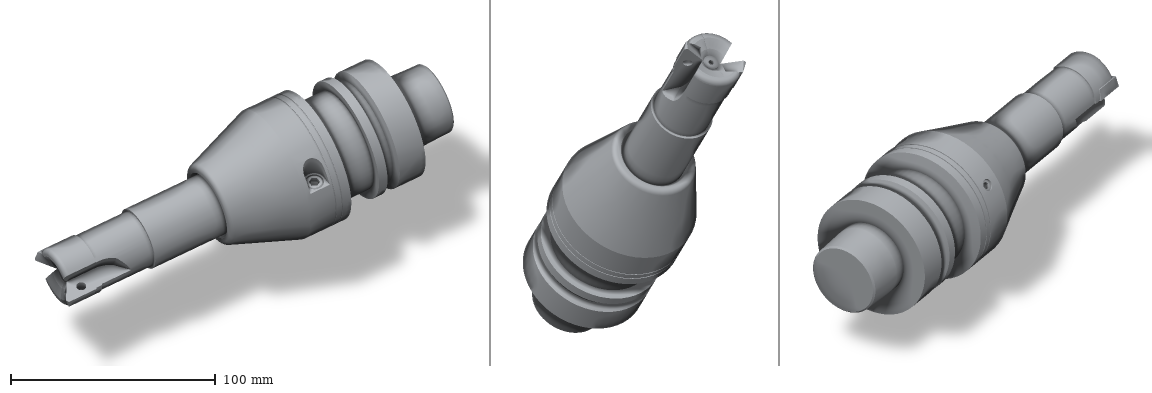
import cadquery as cq
import math

TOOL_LENGTH = 219.5
HALF_TURN = 180.0
HEX_SIDES = 6
DRILL_POINT_ANGLE = 118.0

NOSE_CHAMFER = 0.9
NOSE_END_RADIUS = 36.7 / 2
NOSE_RADIUS = 38.0 / 2
NOSE_TAPER_Y = 200.8

FLANGE_RADIUS = 63.0 / 2
FLANGE_BACK_Y = 195.0
FLANGE_FRONT_Y = 168.3
GRIP_GROOVE_RADIUS = 27.7
GRIP_GROOVE_MID_Y = 176.7
GRIP_GROOVE_FLOOR = 3.5
GRIP_GROOVE_MOUTH = 7.0

NECK_RADIUS = 26.5
NECK_FRONT_Y = 152.5
BODY_RADIUS = 69.5 / 2
BODY_BACK_Y = 150.5
BODY_FRONT_Y = 127.3
RING_GROOVE_YS = (145.5, 142.0)
RING_GROOVE_WIDTH = 0.7
RING_GROOVE_DEPTH = 0.33

CONE_ANGLE = 20.0
HOLDER_FRONT_Y = 90.0
CONE_END_RADIUS = BODY_RADIUS - (BODY_FRONT_Y - HOLDER_FRONT_Y) * math.tan(math.radians(CONE_ANGLE))
CONE_END_FILLET = 2.6

SHANK_RADIUS = 16.0
SHANK_BACK_Y = BODY_FRONT_Y
BORE_MOUTH_CHAMFER = 1.5

SCREW_Y = 135.2
SCREW_X = 25.2
SCREW_SEAT_Z = 16.5
SCREW_POCKET_RADIUS = 5.5
SCREW_RADIUS = 4.5
SCREW_LENGTH = 6.5
SCREW_CHAMFER = 0.9
SCREW_SOCKET_CORNERS = 5.5
SCREW_SOCKET_DEPTH = 2.6

PORT_ANGLE = 145.0
PORT_RADIUS = 3.0
PORT_DEPTH = 1.0
PORT_SOCKET_CORNERS = 4.0
PORT_SOCKET_DEPTH = 1.8

SHANK_FRONT_Y = 50.0
CUTTER_NECK_RADIUS = 14.7
HEAD_BACK_Y = 20.2
HEAD_FRONT_Y = 2.5
HEAD_RADIUS = 15.4
HEAD_FILLET = 2.5
DISH_RIM_RADIUS = 11.6
DISH_MID_RADIUS = 6.5
DISH_MID_DEPTH = 2.2
DISH_FLOOR_RADIUS = 4.0
DISH_DEPTH = 4.4
CENTRE_HOLE_RADIUS = 1.3
CENTRE_HOLE_DEPTH = 2.2

GULLET_CORNER_X = 4.5
GULLET_WALL_ANGLE = 67.0
GULLET_STRAIGHT_Y = 22.2
GULLET_ARC_LENGTH = 8.8
GULLET_ARC_ANGLE = 31.0
GULLET_RUNOUT_ANGLE = 48.0
GULLET_REACH = 17.5
RELIEF_START_ANGLE = -63.0
RELIEF_DEPTH = 0.2
RELIEF_LENGTH = 8.8

INSERT_INNER_X = 5.0
INSERT_TIP_X = 14.5
INSERT_OUTER_X = 16.0
INSERT_CORNER_Y = 0.9
INSERT_BACK_Y = 16.5
INSERT_END_SLOPE = 0.65
INSERT_THICKNESS = 5.7
INSERT_CLEARANCE = 13.0
INSERT_FRONT_ROOM = 8.8
INSERT_HOLE_X = 10.8
INSERT_HOLE_Y = 11.0
INSERT_HOLE_RADIUS = 2.5


def revolve_about_axis(points):
    """Turn a closed outline of (radius, y) points about the tool axis."""
    return cq.Workplane("XY").polyline(points).close().revolve(360, (0, 0), (0, 1))


def opposite(shape):
    """The same shape on the other side of the tool axis."""
    return shape.rotate((0, 0, 0), (0, 1, 0), HALF_TURN)


def hex_socket(plane, corners, depth):
    """Hexagonal hole into the plane, ending in a drill point."""
    across_flats = corners * math.cos(math.pi / HEX_SIDES)
    point_radius = across_flats / 2
    point_depth = point_radius / math.tan(math.radians(DRILL_POINT_ANGLE / 2))
    hexagon = cq.Workplane(plane).polygon(HEX_SIDES, corners).extrude(-depth)
    tip = cq.Solid.makeCone(point_radius, 0, point_depth, plane.origin - plane.zDir * depth, -plane.zDir)
    return hexagon.union(cq.Workplane(tip))


def holder_blank():
    mouth = GRIP_GROOVE_MOUTH / 2
    floor = GRIP_GROOVE_FLOOR / 2
    outline = [
        (0, TOOL_LENGTH),
        (NOSE_END_RADIUS - NOSE_CHAMFER, TOOL_LENGTH),
        (NOSE_END_RADIUS, TOOL_LENGTH - NOSE_CHAMFER),
        (NOSE_RADIUS, NOSE_TAPER_Y),
        (NOSE_RADIUS, FLANGE_BACK_Y),
        (FLANGE_RADIUS, FLANGE_BACK_Y),
        (FLANGE_RADIUS, GRIP_GROOVE_MID_Y + mouth),
        (GRIP_GROOVE_RADIUS, GRIP_GROOVE_MID_Y + floor),
        (GRIP_GROOVE_RADIUS, GRIP_GROOVE_MID_Y - floor),
        (FLANGE_RADIUS, GRIP_GROOVE_MID_Y - mouth),
        (FLANGE_RADIUS, FLANGE_FRONT_Y),
        (NECK_RADIUS, FLANGE_FRONT_Y),
        (NECK_RADIUS, NECK_FRONT_Y),
        (BODY_RADIUS, BODY_BACK_Y),
        (BODY_RADIUS, BODY_FRONT_Y),
        (CONE_END_RADIUS, HOLDER_FRONT_Y),
        (0, HOLDER_FRONT_Y),
    ]
    return revolve_about_axis(outline).faces("<Y").edges().fillet(CONE_END_FILLET)


def ring_groove(mid_y):
    inner = BODY_RADIUS - RING_GROOVE_DEPTH
    outer = BODY_RADIUS + RING_GROOVE_DEPTH
    back = mid_y + RING_GROOVE_WIDTH / 2
    front = mid_y - RING_GROOVE_WIDTH / 2
    return revolve_about_axis([(inner, front), (outer, front), (outer, back), (inner, back)])


def tool_bore():
    return revolve_about_axis([
        (0, SHANK_BACK_Y),
        (SHANK_RADIUS, SHANK_BACK_Y),
        (SHANK_RADIUS, HOLDER_FRONT_Y + BORE_MOUTH_CHAMFER),
        (SHANK_RADIUS + BORE_MOUTH_CHAMFER, HOLDER_FRONT_Y),
        (0, HOLDER_FRONT_Y),
    ])


def screw_pocket():
    """Round-ended flat that runs out of the body on the +X side."""
    seat = cq.Workplane("XY", origin=(SCREW_X, SCREW_Y, SCREW_SEAT_Z))
    round_end = seat.circle(SCREW_POCKET_RADIUS).extrude(BODY_RADIUS)
    open_side = seat.rect(BODY_RADIUS, 2 * SCREW_POCKET_RADIUS).extrude(BODY_RADIUS)
    open_side = open_side.translate((BODY_RADIUS / 2, 0, 0))
    return round_end.union(open_side)


def screw_hole():
    bottom = cq.Workplane("XY", origin=(SCREW_X, SCREW_Y, SCREW_SEAT_Z - SCREW_LENGTH))
    return bottom.circle(SCREW_RADIUS).extrude(SCREW_LENGTH)


def radial_port():
    """Shallow round recess with a hexagonal socket in its floor."""
    angle = math.radians(PORT_ANGLE)
    outward = cq.Vector(math.cos(angle), 0, math.sin(angle))
    floor = cq.Plane(origin=outward * (BODY_RADIUS - PORT_DEPTH), xDir=(0, 1, 0), normal=outward)
    recess = cq.Workplane(floor).circle(PORT_RADIUS).extrude(2 * PORT_DEPTH)
    socket = hex_socket(floor, PORT_SOCKET_CORNERS, PORT_SOCKET_DEPTH)
    return recess.union(socket).translate((0, SCREW_Y, 0))


def make_holder():
    holder = holder_blank().cut(tool_bore())
    for groove_y in RING_GROOVE_YS:
        holder = holder.cut(ring_groove(groove_y))
    return holder.cut(screw_pocket()).cut(screw_hole()).cut(radial_port())


def make_clamp_screw():
    screw = screw_hole().faces(">Z").chamfer(SCREW_CHAMFER)
    top = cq.Plane(origin=(SCREW_X, SCREW_Y, SCREW_SEAT_Z))
    return screw.cut(hex_socket(top, SCREW_SOCKET_CORNERS, SCREW_SOCKET_DEPTH))


def insert_blank():
    """Insert on the +X side: rake face at Z = 0, sides drawn in below it for clearance."""
    end_rise = (INSERT_TIP_X - INSERT_INNER_X) * INSERT_END_SLOPE
    back_rise = (INSERT_OUTER_X - INSERT_INNER_X) * INSERT_END_SLOPE
    outline = [
        (INSERT_INNER_X, INSERT_BACK_Y + back_rise),
        (INSERT_OUTER_X, INSERT_BACK_Y),
        (INSERT_OUTER_X, INSERT_CORNER_Y),
        (INSERT_TIP_X, 0),
        (INSERT_INNER_X, end_rise),
    ]
    rake_face = cq.Workplane("XY").polyline(outline).close()
    return rake_face.extrude(-INSERT_THICKNESS, taper=INSERT_CLEARANCE)


def make_insert():
    hole = cq.Workplane("XY").center(INSERT_HOLE_X, INSERT_HOLE_Y).circle(INSERT_HOLE_RADIUS)
    return insert_blank().cut(hole.extrude(-INSERT_THICKNESS))


def insert_pocket():
    """Seat that fits the insert and stays open in front of its end flank."""
    return insert_blank().union(insert_blank().translate((0, -INSERT_FRONT_ROOM, 0)))


def cutter_blank():
    outline = [
        (0, SHANK_BACK_Y),
        (SHANK_RADIUS, SHANK_BACK_Y),
        (SHANK_RADIUS, SHANK_FRONT_Y),
        (CUTTER_NECK_RADIUS, SHANK_FRONT_Y),
        (CUTTER_NECK_RADIUS, HEAD_BACK_Y),
        (HEAD_RADIUS, HEAD_BACK_Y),
        (HEAD_RADIUS, HEAD_FRONT_Y),
        (0, HEAD_FRONT_Y),
    ]
    return revolve_about_axis(outline).faces("<Y").edges().fillet(HEAD_FILLET)


def end_dish():
    """Two-step conical hollow in the front face, with a small centre hole."""
    floor_y = HEAD_FRONT_Y + DISH_DEPTH
    hole_y = floor_y + CENTRE_HOLE_DEPTH
    return revolve_about_axis([
        (0, HEAD_FRONT_Y),
        (DISH_RIM_RADIUS, HEAD_FRONT_Y),
        (DISH_MID_RADIUS, HEAD_FRONT_Y + DISH_MID_DEPTH),
        (DISH_FLOOR_RADIUS, floor_y),
        (CENTRE_HOLE_RADIUS, floor_y),
        (CENTRE_HOLE_RADIUS, hole_y),
        (0, hole_y),
    ])


def gullet():
    """Chip space above the +X insert: a leaning wall that curves outward and then runs out straight."""
    lean = math.radians(GULLET_WALL_ANGLE)
    bend = math.radians(GULLET_ARC_ANGLE)
    runout = math.radians(GULLET_RUNOUT_ANGLE)
    arc_radius = GULLET_ARC_LENGTH / math.sin(bend)
    arc_end = (arc_radius * (1 - math.cos(bend)), GULLET_STRAIGHT_Y + GULLET_ARC_LENGTH)
    arc_mid = (
        arc_radius * (1 - math.cos(bend / 2)),
        GULLET_STRAIGHT_Y + arc_radius * math.sin(bend / 2),
    )
    runout_y = arc_end[1] + (GULLET_REACH - arc_end[0]) / math.tan(runout)

    across_wall = cq.Plane(
        origin=(GULLET_CORNER_X, 0, 0),
        xDir=(math.sin(lean), 0, -math.cos(lean)),
        normal=(math.cos(lean), 0, math.sin(lean)),
    )
    sweep = (
        cq.Workplane(across_wall)
        .moveTo(0, 0)
        .lineTo(0, GULLET_STRAIGHT_Y)
        .threePointArc(arc_mid, arc_end)
        .lineTo(GULLET_REACH, runout_y)
        .lineTo(GULLET_REACH, 0)
        .close()
        .extrude(GULLET_REACH, both=True)
    )
    above_rake_face = cq.Workplane("XY").rect(TOOL_LENGTH, TOOL_LENGTH).extrude(TOOL_LENGTH)
    return sweep.intersect(above_rake_face)


def end_relief(body):
    """Thin front skin of the body in the sector beside the +X insert, to set the end back there."""
    start = math.radians(RELIEF_START_ANGLE)
    reach = 2 * HEAD_RADIUS
    start_corner = (reach * math.cos(start), reach * math.sin(start))
    sector = cq.Workplane("XZ").polyline([(0, 0), start_corner, (reach, 0)]).close().extrude(-RELIEF_LENGTH)
    dish_floor = cq.Workplane("XZ").circle(DISH_FLOOR_RADIUS).extrude(-RELIEF_LENGTH)
    set_back = body.translate((0, RELIEF_DEPTH, 0))
    return sector.cut(dish_floor).intersect(body).cut(set_back)


def make_cutter():
    cutter = cutter_blank().cut(end_dish())
    for cut_shape in (end_relief(cutter), gullet(), insert_pocket()):
        cutter = cutter.cut(cut_shape).cut(opposite(cut_shape))
    return cutter


holder = make_holder()
clamp_screw = make_clamp_screw()
cutter = make_cutter()
inserts = [make_insert().rotate((0, 0, 0), (0, 1, 0), turn * HALF_TURN) for turn in range(2)]

result = cq.Compound.makeCompound(
    [holder.val(), clamp_screw.val(), cutter.val(), *[insert.val() for insert in inserts]]
)